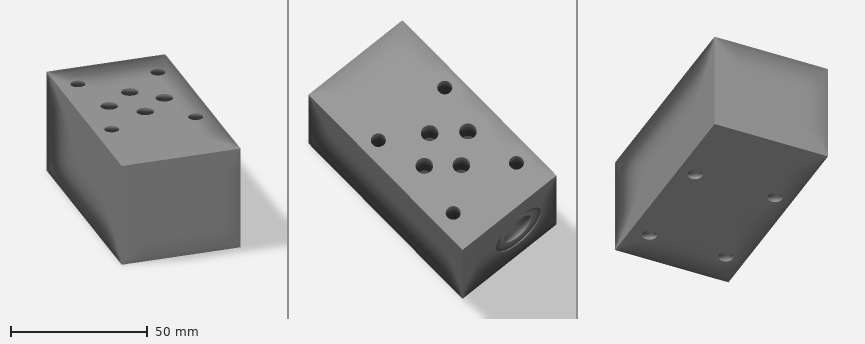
import cadquery as cq
import math

LENGTH = 85.0
WIDTH = 46.0
HEIGHT = 40.0

BOLT_DIAMETER = 5.5
BOLT_NEAR_X = 13.6 - LENGTH / 2
BOLT_SPACING_X = 40.5
BOLT_NEAR_SPACING_Y = 30.9
BOLT_FAR_SPACING_Y = 32.5

PORT_DIAMETER = 6.5
PORT_DEPTH = 10.2
PORT_CENTRE_X = 35.0 - LENGTH / 2
SIDE_PORT_OFFSET_X = 8.75
SIDE_PORT_Y = 0.25
BACK_PORT_Y = 10.6
FRONT_PORT_Y = -10.7

END_PORT_Y = -4.5
END_PORT_Z = HEIGHT / 2
SPOTFACE_DIAMETER = 22.0
SPOTFACE_DEPTH = 0.5
THREAD_DIAMETER = 13.2
THREAD_DEPTH = 12.0
DRILL_DIAMETER = 11.5
DRILL_DEPTH = 15.0
DRILL_TIP_ANGLE = 118.0


def bolt_points():
    far_x = BOLT_NEAR_X + BOLT_SPACING_X
    pairs = [(BOLT_NEAR_X, BOLT_NEAR_SPACING_Y), (far_x, BOLT_FAR_SPACING_Y)]
    return [(x, side * spacing / 2) for x, spacing in pairs for side in (-1, 1)]


def port_points():
    return [
        (PORT_CENTRE_X - SIDE_PORT_OFFSET_X, SIDE_PORT_Y),
        (PORT_CENTRE_X + SIDE_PORT_OFFSET_X, SIDE_PORT_Y),
        (PORT_CENTRE_X, BACK_PORT_Y),
        (PORT_CENTRE_X, FRONT_PORT_Y),
    ]


def end_port_cutter():
    """Solid of revolution about an X-parallel axis, entering at the -X face."""
    drill_radius = DRILL_DIAMETER / 2
    tip_length = drill_radius / math.tan(math.radians(DRILL_TIP_ANGLE / 2))
    half_profile = [
        (0, 0),
        (0, SPOTFACE_DIAMETER / 2),
        (SPOTFACE_DEPTH, SPOTFACE_DIAMETER / 2),
        (SPOTFACE_DEPTH, THREAD_DIAMETER / 2),
        (THREAD_DEPTH, THREAD_DIAMETER / 2),
        (THREAD_DEPTH, drill_radius),
        (DRILL_DEPTH, drill_radius),
        (DRILL_DEPTH + tip_length, 0),
    ]
    cutter = cq.Workplane("XY").polyline(half_profile).close().revolve(360, (0, 0, 0), (1, 0, 0))
    return cutter.translate((-LENGTH / 2, END_PORT_Y, END_PORT_Z))


block = cq.Workplane("XY").box(LENGTH, WIDTH, HEIGHT, centered=(True, True, False))
top_plane = cq.Workplane("XY").workplane(offset=HEIGHT)
bolt_holes = top_plane.pushPoints(bolt_points()).circle(BOLT_DIAMETER / 2).extrude(-HEIGHT)
ports = top_plane.pushPoints(port_points()).circle(PORT_DIAMETER / 2).extrude(-PORT_DEPTH)

result = block.cut(bolt_holes).cut(ports).cut(end_port_cutter())